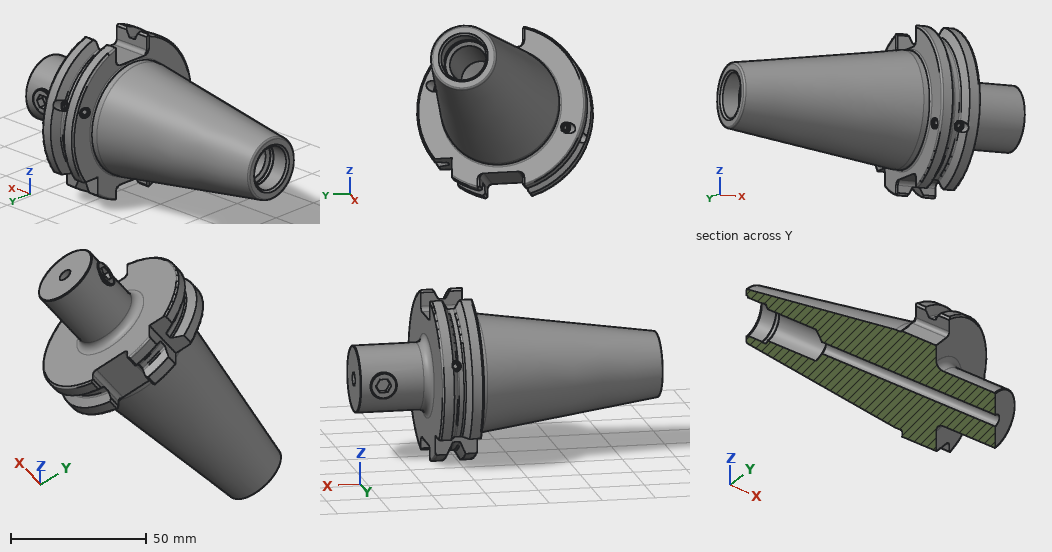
import cadquery as cq
import math


gauge_diameter = 44.45
taper_ratio = 7 / 24
taper_length = 68.4
gauge_radius = gauge_diameter / 2
taper_end_radius = gauge_radius - taper_length * taper_ratio / 2
taper_end_fillet = 0.75

flange_diameter = 63.5
flange_radius = flange_diameter / 2
flange_front = 3.0
flange_back = 18.85
flange_width = flange_back - flange_front
rim_fillet = 0.7
neck_fillet = 0.6

groove_center = 10.93
groove_root_radius = 28.1
groove_width = 6.95
groove_wall_angle = 60
groove_fillet = 0.8

slot_width = 16.1
slot_floors = (22.8, -25.0)
slot_fillet = 1.7
slot_chamfer = 0.86
slot_chamfer_depth = 0.5
notch_offset = 18.5

shank_diameter = 25.0
shank_radius = shank_diameter / 2
shank_end = 45.85
shank_fillet = 3.2
shank_chamfer = 0.3

pilot_diameter = 17.0
pilot_depth = 9.0
pilot_fillet = 0.8
relief_width = 1.6
relief_depth = 0.25
thread_diameter = 14.0
thread_depth = 32.0
countersink_angle = 120
drill_point_angle = 118
coolant_diameter = 5.0

screw_diameter = 4.0
screw_length = 3.0
screw_chamfer = 0.4
socket_size = 2.0
socket_depth = 1.2
screw_angle = 20.2
screw_angles = (screw_angle, screw_angle + 180)

face_screw_radius = 27.0
face_screw_tilt = 45
face_screw_depth = 1.4

groove_screw_x = 12.8
groove_screw_end_radius = 27.7

shank_screw_x = 37.1
shank_screw_diameter = 10.0
shank_screw_length = 5.0
shank_screw_end_radius = shank_radius
shank_socket_size = 5.0
shank_socket_depth = 3.0

rim_runout = 1.0
hole_runout = 8.0


def turned_blank():
    """Taper, neck, flange and shank turned as one solid."""
    half_angle = math.atan(taper_ratio / 2)
    tangent = taper_end_fillet * math.tan((math.pi / 2 - half_angle) / 2)
    round_start_radius = taper_end_radius - tangent
    round_end_x = -taper_length + tangent * math.cos(half_angle)
    round_end_radius = taper_end_radius + tangent * math.sin(half_angle)
    profile = (
        cq.Workplane("XZ")
        .moveTo(-taper_length, 0)
        .lineTo(-taper_length, round_start_radius)
        .radiusArc((round_end_x, round_end_radius), taper_end_fillet)
        .lineTo(0, gauge_radius)
        .lineTo(flange_front - neck_fillet, gauge_radius)
        .radiusArc((flange_front, gauge_radius + neck_fillet), -neck_fillet)
        .lineTo(flange_front, flange_radius - rim_fillet)
        .radiusArc((flange_front + rim_fillet, flange_radius), rim_fillet)
        .lineTo(flange_back - rim_fillet, flange_radius)
        .radiusArc((flange_back, flange_radius - rim_fillet), rim_fillet)
        .lineTo(flange_back, shank_radius + shank_fillet)
        .radiusArc((flange_back + shank_fillet, shank_radius), -shank_fillet)
        .lineTo(shank_end - shank_chamfer, shank_radius)
        .lineTo(shank_end, shank_radius - shank_chamfer)
        .lineTo(shank_end, 0)
        .close()
    )
    return profile.revolve(360, (0, 0, 0), (1, 0, 0))


def gripper_groove():
    """Ring that cuts the V groove, its root corners rounded."""
    half_width = groove_width / 2
    wall_slope = 1 / math.tan(math.radians(groove_wall_angle))
    root_half_width = half_width - (flange_radius - groove_root_radius) * wall_slope
    outer_radius = flange_radius + rim_runout
    outer_half_width = half_width + (outer_radius - flange_radius) * wall_slope
    tangent = groove_fillet * math.tan(math.radians(groove_wall_angle / 2))
    wall_dx = tangent * math.cos(math.radians(groove_wall_angle))
    wall_dr = tangent * math.sin(math.radians(groove_wall_angle))
    profile = (
        cq.Workplane("XZ")
        .moveTo(groove_center - outer_half_width, outer_radius)
        .lineTo(groove_center - root_half_width - wall_dx, groove_root_radius + wall_dr)
        .radiusArc((groove_center - root_half_width + tangent, groove_root_radius), -groove_fillet)
        .lineTo(groove_center + root_half_width - tangent, groove_root_radius)
        .radiusArc((groove_center + root_half_width + wall_dx, groove_root_radius + wall_dr), -groove_fillet)
        .lineTo(groove_center + outer_half_width, outer_radius)
        .close()
    )
    return profile.revolve(360, (0, 0, 0), (1, 0, 0))


def central_bore():
    """Pilot bore, threaded bore with a drill point, and the coolant bore right through."""
    pilot_radius = pilot_diameter / 2
    relief_radius = pilot_radius + relief_depth
    thread_radius = thread_diameter / 2
    coolant_radius = coolant_diameter / 2
    countersink_depth = (pilot_radius - thread_radius) / math.tan(math.radians(countersink_angle / 2))
    point_length = (thread_radius - coolant_radius) / math.tan(math.radians(drill_point_angle / 2))
    pilot_end = -taper_length + pilot_depth
    thread_end = -taper_length + thread_depth
    profile = (
        cq.Workplane("XZ")
        .moveTo(-taper_length, 0)
        .lineTo(-taper_length, pilot_radius + pilot_fillet)
        .radiusArc((-taper_length + pilot_fillet, pilot_radius), pilot_fillet)
        .lineTo(pilot_end - relief_width, pilot_radius)
        .lineTo(pilot_end - relief_width, relief_radius)
        .lineTo(pilot_end, relief_radius)
        .lineTo(pilot_end, pilot_radius)
        .lineTo(pilot_end + countersink_depth, thread_radius)
        .lineTo(thread_end, thread_radius)
        .lineTo(thread_end + point_length, coolant_radius)
        .lineTo(shank_end, coolant_radius)
        .lineTo(shank_end, 0)
        .close()
    )
    return profile.revolve(360, (0, 0, 0), (1, 0, 0))


def slot_section(x, half_width, floor):
    """Slot outline across the axis at X = x, open past the rim; the corner arcs end at one floor width."""
    side = math.copysign(1, floor)
    floor_half_width = slot_width / 2 - slot_fillet
    corner = half_width - floor_half_width
    top = side * (flange_radius + rim_runout)
    wall_start = floor + side * corner
    diagonal = corner * math.sqrt(0.5)
    arc_y = floor_half_width + diagonal
    arc_z = wall_start - side * diagonal
    return (
        cq.Workplane("YZ", origin=(x, 0, 0))
        .moveTo(-half_width, top)
        .lineTo(-half_width, wall_start)
        .threePointArc((-arc_y, arc_z), (-floor_half_width, floor))
        .lineTo(floor_half_width, floor)
        .threePointArc((arc_y, arc_z), (half_width, wall_start))
        .lineTo(half_width, top)
        .close()
    )


def drive_slot(floor):
    """Drive slot with its wall edges chamfered at the front face and along the rim."""
    half_width = slot_width / 2
    slot = slot_section(flange_front, half_width, floor).extrude(flange_width)
    wide = slot_section(flange_front, half_width + slot_chamfer, floor).wires().val()
    narrow = slot_section(flange_front + slot_chamfer_depth, half_width, floor).wires().val()
    front_chamfer = cq.Workplane(cq.Solid.makeLoft([wide, narrow], True))

    side = math.copysign(1, floor)
    rim_y = half_width + slot_chamfer
    rim_z = math.sqrt(flange_radius**2 - rim_y**2)
    flare_base = side * (rim_z - slot_chamfer)
    flare_top = side * (rim_z + slot_chamfer)
    rim_flare = (
        cq.Workplane("YZ", origin=(flange_front, 0, 0))
        .moveTo(-half_width, flare_base)
        .lineTo(half_width, flare_base)
        .lineTo(rim_y + slot_chamfer, flare_top)
        .lineTo(-rim_y - slot_chamfer, flare_top)
        .close()
        .extrude(flange_width)
    )
    return slot.union(front_chamfer).union(rim_flare)


def orientation_notch():
    """Square notch right through the flange in the +Y, -Z quarter."""
    notch = cq.Workplane("XY").box(flange_width, flange_radius, flange_radius, centered=False)
    return notch.translate((flange_front, notch_offset, -notch_offset - flange_radius))


def set_screw(end_plane, diameter, length, socket, depth):
    """Set screw below its end plane, which faces out of the hole, with a chamfered hex-socket end."""
    blank = cq.Workplane(end_plane).circle(diameter / 2).extrude(-length)
    outer_end = cq.selectors.DirectionMinMaxSelector(end_plane.zDir, True)
    hex_socket = cq.Workplane(end_plane).polygon(6, socket, circumscribed=True).extrude(-depth)
    return blank.faces(outer_end).chamfer(screw_chamfer).cut(hex_socket)


def screw_hole(end_plane, diameter, length):
    """Hole that holds a set screw below its end plane and stays open outwards above it."""
    hole_bottom = cq.Workplane(end_plane).workplane(offset=-length)
    return hole_bottom.circle(diameter / 2).extrude(length + hole_runout)


def around_axis(body, angle):
    """The body turned about the X axis."""
    return body.rotate((0, 0, 0), (1, 0, 0), angle)


face_tilt = math.radians(face_screw_tilt)
face_screw_x = flange_front + face_screw_depth * math.cos(face_tilt)
face_screw_end_radius = face_screw_radius - face_screw_depth * math.sin(face_tilt)
face_plane = cq.Plane(
    origin=(face_screw_x, face_screw_end_radius, 0),
    normal=(-math.cos(face_tilt), math.sin(face_tilt), 0),
)
groove_plane = cq.Plane(origin=(groove_screw_x, groove_screw_end_radius, 0), normal=(0, 1, 0))
shank_plane = cq.Plane(origin=(shank_screw_x, shank_screw_end_radius, 0), normal=(0, 1, 0))

holder = turned_blank().cut(gripper_groove()).cut(central_bore()).cut(orientation_notch())
for floor in slot_floors:
    holder = holder.cut(drive_slot(floor))
for angle in screw_angles:
    for plane in (face_plane, groove_plane):
        holder = holder.cut(around_axis(screw_hole(plane, screw_diameter, screw_length), angle))
holder = holder.cut(screw_hole(shank_plane, shank_screw_diameter, shank_screw_length))

face_screw = set_screw(face_plane, screw_diameter, screw_length, socket_size, socket_depth)
groove_screw = set_screw(groove_plane, screw_diameter, screw_length, socket_size, socket_depth)
face_screws = [around_axis(face_screw, angle) for angle in screw_angles]
groove_screws = [around_axis(groove_screw, angle) for angle in screw_angles]
shank_screw = set_screw(
    shank_plane, shank_screw_diameter, shank_screw_length, shank_socket_size, shank_socket_depth
)

result = cq.Compound.makeCompound(
    [
        holder.val(),
        *[screw.val() for screw in face_screws],
        *[screw.val() for screw in groove_screws],
        shank_screw.val(),
    ]
)